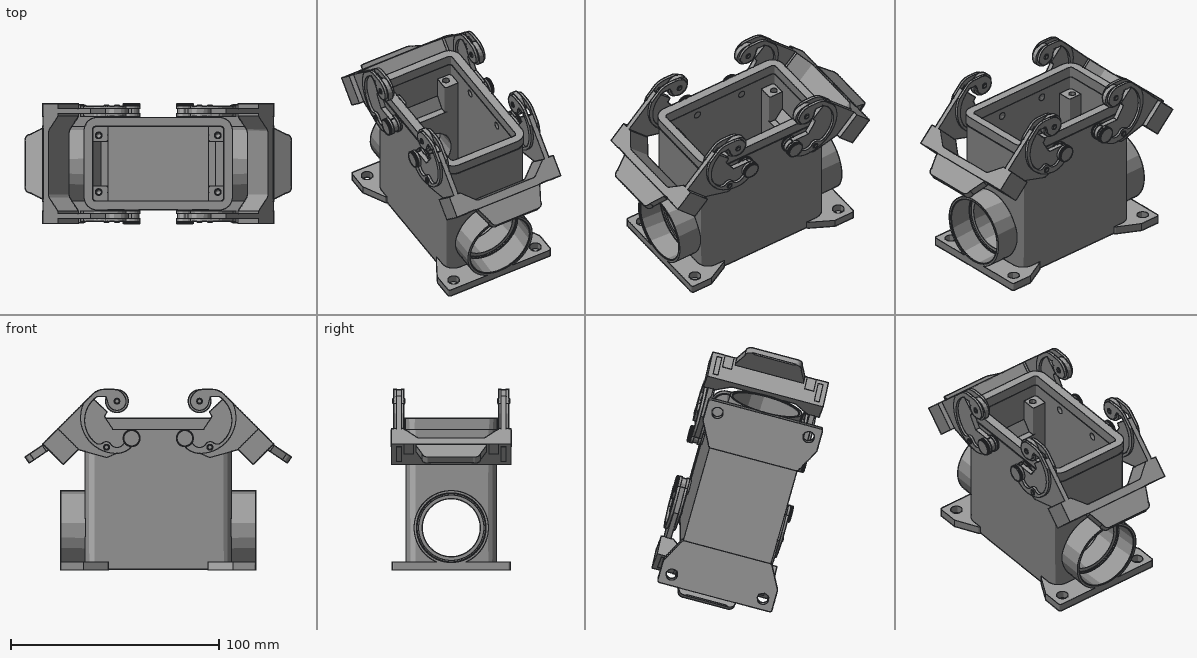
import cadquery as cq
import math

BODY_LENGTH = 70.6
BODY_WIDTH = 43.6
BODY_CORNER_R = 6.2
BODY_BOTTOM_Z = 0.35
SHOULDER_Z = 67.5
RIM_LENGTH = 71.2
RIM_WIDTH = 44.4
RIM_TOP_Z = 73.0

CAVITY_LENGTH = 63.2
CAVITY_WIDTH = 36.0
CAVITY_CORNER_R = 1.6
CAVITY_STEP = 0.15
FLOOR_Z = 4.0
LEDGE_INNER_X = 24.2
LEDGE_Z = 44.5
LEDGE_SLOPE_X = 27.4
LEDGE_SLOPE_TOP_Z = 49.8
POST_WIDTH = 7.4
POST_CORNER_R = 1.0
POST_TOP_Z = 60.9
SCREW_X = 28.6
SCREW_Y = 13.6
SCREW_R = 1.6
SCREW_TIP_R = 1.25
SCREW_DEPTH = 12.0

ENTRY_END_X = 46.9
ENTRY_Z = 20.4
ENTRY_R = 17.85
ENTRY_BORE_R = 16.4
ENTRY_BORE_DEPTH = 11.5
ENTRY_SEAT_R = 15.7
ENTRY_SEAT_DEPTH = 12.3
ENTRY_HOLE_R = 13.9
ENTRY_MOUTH_CHAMFER = 0.35

FOOT_THICKNESS = 4.0
FOOT_HALF_WIDTH = 28.4
FOOT_CORNER_R = 1.1
FOOT_SHOULDER_X = 35.8
FOOT_TOE_X = 24.4
FOOT_TOE_Y = 22.4
FOOT_INNER_X = 23.8
FOOT_HOLE_X = 41.5
FOOT_HOLE_Y = 22.7
FOOT_HOLE_R = 2.75

LEVER_CORNER_X = -55.5
LEVER_CORNER_Z = 60.6
LEVER_DIAGONAL = LEVER_CORNER_Z - LEVER_CORNER_X
ROOT_HALF = math.sqrt(0.5)

BAR_HALF_LENGTH = 28.8
BAR_HEIGHT = 10.4
BAR_DEPTH = 14.0
NOTCH_FLOOR = 4.0
NOTCH_HALF_BOTTOM = 15.9
NOTCH_HALF_TOP = 22.8
NOTCH_CORNER_R = 2.7

ARM_Y = 24.0
ARM_THICKNESS = 2.4
CHEEK_THICKNESS = 1.3
CHEEK_INSET = 0.1
ARM_OVERLAP = 2.0

PIVOT_X = -12.8
PIVOT_Z = 63.4
PIVOT_R = 4.07
PIVOT_NECK_R = 3.6
PIVOT_ROOT_DEPTH = 1.0
PIVOT_CAP_THICKNESS = 0.75
PIVOT_END_Y = 29.0
PIVOT_CAP_CHAMFER = 0.35
PIVOT_DIMPLE_R = 1.8
PIVOT_DIMPLE_DEPTH = 0.6

CRESCENT_X = -20.6
CRESCENT_Z = 72.8
CRESCENT_R = 16.7

ROLLER_X = -19.85
ROLLER_Z = 81.2
ROLLER_R = 5.5
HOOK_EYE_R = 4.43
HOOK_TOP_Z = 86.94
RIVET_X = -24.8
RIVET_Z = 59.05
RIVET_R = 1.4
RIVET_PROUD = 0.45
RIVET_CHAMFER = 0.4

TAB_TIP_X = -63.995
TAB_TIP_Z = 54.4
TAB_ANGLE = math.radians(34)
TAB_THICKNESS = 3.6
TAB_LENGTH = 12.5
TAB_VISIBLE_LENGTH = 10.0
TAB_HALF_ROOT = 17.0
TAB_WAIST = 5.5
TAB_HALF_WAIST = 15.1
TAB_SHOULDER = 2.8
TAB_HALF_SHOULDER = 14.0
TAB_CORNER_SAGITTA = 0.8
TAB_HALF_TIP = 10.8
TAB_EDGE_CHAMFER = 0.5

PANEL_DEPTH = 0.15
ARM_PANEL_START = 1.9
ARM_PANEL_END = 11.9
CORNER_PANEL_INNER_Y = 18.2
CORNER_PANEL_OUTER_Y = 22.7
CORNER_PANEL_END = 6.8


def rounded_block(length, width, radius, z_bottom, z_top):
    """Upright block centred on the Z axis with rounded vertical edges."""
    block = cq.Workplane("XY").workplane(offset=z_bottom).rect(length, width).extrude(z_top - z_bottom)
    return block.edges("|Z").fillet(radius)


def both_ends(half):
    """A feature of the -X end together with its mirror image at the +X end."""
    return half.union(half.mirror("YZ"))


def disc(x, z, radius, y_start, y_end):
    """Cylinder along Y."""
    return cq.Workplane("XZ", origin=(x, y_start, z)).circle(radius).extrude(y_start - y_end)


def entry_cylinder(radius, x_start, x_end):
    """Cylinder along the cable entry axis."""
    return cq.Workplane("YZ", origin=(x_start, 0, ENTRY_Z)).circle(radius).extrude(x_end - x_start)


def foot():
    """Mounting foot across the -X end of the housing."""
    half_outline = [
        (-ENTRY_END_X, FOOT_HALF_WIDTH),
        (-FOOT_SHOULDER_X, FOOT_HALF_WIDTH),
        (-FOOT_TOE_X, FOOT_TOE_Y),
        (-FOOT_INNER_X, BODY_WIDTH / 2),
    ]
    outline = half_outline + [(x, -y) for x, y in reversed(half_outline)]
    plate = cq.Workplane("XY").polyline(outline).close().extrude(FOOT_THICKNESS)
    plate = plate.edges("|Z and <X").fillet(FOOT_CORNER_R)
    holes = [(-FOOT_HOLE_X, FOOT_HOLE_Y), (-FOOT_HOLE_X, -FOOT_HOLE_Y)]
    return plate.cut(cq.Workplane("XY").pushPoints(holes).circle(FOOT_HOLE_R).extrude(FOOT_THICKNESS))


def screw_hole(y):
    """Blind screw hole in a post, narrowing to a pointed tip."""
    tip_z = POST_TOP_Z - SCREW_DEPTH
    shank = cq.Workplane("XY", origin=(-SCREW_X, y, tip_z)).circle(SCREW_R).extrude(SCREW_DEPTH)
    tip = cq.Solid.makeCone(SCREW_TIP_R, 0, SCREW_TIP_R, cq.Vector(-SCREW_X, y, tip_z), cq.Vector(0, 0, -1))
    return shank.union(cq.Workplane(tip))


def end_ledge():
    """Thickened lower end wall with a sloped top, and the two screw posts in its corners."""
    wall_x = -CAVITY_LENGTH / 2
    profile = [
        (wall_x, FLOOR_Z),
        (-LEDGE_INNER_X, FLOOR_Z),
        (-LEDGE_INNER_X, LEDGE_Z),
        (-LEDGE_SLOPE_X, LEDGE_Z),
        (wall_x, LEDGE_SLOPE_TOP_Z),
    ]
    ledge = cq.Workplane("XZ").polyline(profile).close().extrude(CAVITY_WIDTH / 2, both=True)
    for side in (-1, 1):
        centre_y = side * (CAVITY_WIDTH - POST_WIDTH) / 2
        post = (
            cq.Workplane("XY", origin=(wall_x + POST_WIDTH / 2, centre_y, FLOOR_Z))
            .rect(POST_WIDTH, POST_WIDTH)
            .extrude(POST_TOP_Z - FLOOR_Z)
        )
        inner_edge = ">X and <Y" if side > 0 else ">X and >Y"
        post = post.edges("|Z and " + inner_edge).fillet(POST_CORNER_R)
        ledge = ledge.union(post).cut(screw_hole(side * SCREW_Y))
    return ledge


def housing():
    """Box-shaped housing with feet, cable entries, cavity and screw posts."""
    shell = rounded_block(BODY_LENGTH, BODY_WIDTH, BODY_CORNER_R, BODY_BOTTOM_Z, SHOULDER_Z)
    shell = shell.union(rounded_block(RIM_LENGTH, RIM_WIDTH, BODY_CORNER_R, SHOULDER_Z, RIM_TOP_Z))
    shell = shell.union(both_ends(foot()))
    shell = shell.union(entry_cylinder(ENTRY_R, -ENTRY_END_X, ENTRY_END_X))
    shell = shell.cut(rounded_block(CAVITY_LENGTH, CAVITY_WIDTH, CAVITY_CORNER_R, SHOULDER_Z, RIM_TOP_Z))
    lower_length = CAVITY_LENGTH - 2 * CAVITY_STEP
    lower_width = CAVITY_WIDTH - 2 * CAVITY_STEP
    shell = shell.cut(rounded_block(lower_length, lower_width, CAVITY_CORNER_R, FLOOR_Z, SHOULDER_Z))
    shell = shell.union(both_ends(end_ledge()))

    bore = entry_cylinder(ENTRY_BORE_R, -ENTRY_END_X, ENTRY_BORE_DEPTH - ENTRY_END_X)
    mouth = cq.Workplane(cq.Solid.makeCone(
        ENTRY_BORE_R + ENTRY_MOUTH_CHAMFER, ENTRY_BORE_R, ENTRY_MOUTH_CHAMFER,
        cq.Vector(-ENTRY_END_X, 0, ENTRY_Z), cq.Vector(1, 0, 0),
    ))
    seat = entry_cylinder(ENTRY_SEAT_R, -ENTRY_END_X, ENTRY_SEAT_DEPTH - ENTRY_END_X)
    shell = shell.cut(both_ends(bore.union(mouth).union(seat)))
    return shell.cut(entry_cylinder(ENTRY_HOLE_R, -ENTRY_END_X, ENTRY_END_X))


def bar_recesses():
    """Shallow recesses in the outer face of the cross bar, at the arm ends and beside the tab."""
    face_plane = cq.Plane(
        origin=(LEVER_CORNER_X, 0, LEVER_CORNER_Z),
        xDir=(0, -1, 0),
        normal=(ROOT_HALF, 0, ROOT_HALF),
    )
    recesses = cq.Workplane("XY")
    for side in (-1, 1):
        arm_panel = (
            cq.Workplane(face_plane)
            .center(side * (ARM_Y + ARM_THICKNESS / 2), (ARM_PANEL_START + ARM_PANEL_END) / 2)
            .rect(ARM_THICKNESS, ARM_PANEL_END - ARM_PANEL_START)
            .extrude(PANEL_DEPTH)
        )
        corner_panel = (
            cq.Workplane(face_plane)
            .center(side * (CORNER_PANEL_INNER_Y + CORNER_PANEL_OUTER_Y) / 2, CORNER_PANEL_END / 2)
            .rect(CORNER_PANEL_OUTER_Y - CORNER_PANEL_INNER_Y, CORNER_PANEL_END)
            .extrude(PANEL_DEPTH)
        )
        recesses = recesses.union(arm_panel).union(corner_panel)
    return recesses


def cross_bar():
    """Bar tying the two lever arms, leaning at 45 degrees and notched on its upper side."""
    bar_plane = cq.Plane(
        origin=(LEVER_CORNER_X, 0, LEVER_CORNER_Z),
        xDir=(0, 1, 0),
        normal=(ROOT_HALF, 0, -ROOT_HALF),
    )
    half_outline = [
        (BAR_HALF_LENGTH, 0),
        (BAR_HALF_LENGTH, BAR_HEIGHT),
        (NOTCH_HALF_TOP, BAR_HEIGHT),
        (NOTCH_HALF_BOTTOM, NOTCH_FLOOR),
    ]
    outline = half_outline + [(-y, climb) for y, climb in reversed(half_outline)]
    bar = cq.Workplane(bar_plane).polyline(outline).close().extrude(BAR_DEPTH)
    notch_edges = cq.selectors.BoxSelector(
        bar_plane.toWorldCoords((-NOTCH_HALF_BOTTOM - 1, NOTCH_FLOOR - 1, 0)),
        bar_plane.toWorldCoords((NOTCH_HALF_BOTTOM + 1, NOTCH_FLOOR + 1, BAR_DEPTH)),
    )
    bar = bar.edges("#Y").edges(notch_edges).fillet(NOTCH_CORNER_R)
    return bar.cut(bar_recesses())


def finger_tab():
    """Grip tab sloping outward and down from the cross bar."""
    outward = (-math.cos(TAB_ANGLE), 0, -math.sin(TAB_ANGLE))
    tab_plane = cq.Plane(
        origin=(TAB_TIP_X, 0, TAB_TIP_Z),
        xDir=outward,
        normal=(math.sin(TAB_ANGLE), 0, -math.cos(TAB_ANGLE)),
    )
    tab = (
        cq.Workplane(tab_plane)
        .moveTo(-TAB_LENGTH, -TAB_HALF_ROOT)
        .lineTo(-TAB_VISIBLE_LENGTH, -TAB_HALF_ROOT)
        .spline([(-TAB_WAIST, -TAB_HALF_WAIST), (-TAB_SHOULDER, -TAB_HALF_SHOULDER)], includeCurrent=True)
        .threePointArc((-TAB_CORNER_SAGITTA, TAB_CORNER_SAGITTA - TAB_HALF_SHOULDER), (0, -TAB_HALF_TIP))
        .lineTo(0, TAB_HALF_TIP)
        .threePointArc((-TAB_CORNER_SAGITTA, TAB_HALF_SHOULDER - TAB_CORNER_SAGITTA),
                       (-TAB_SHOULDER, TAB_HALF_SHOULDER))
        .spline([(-TAB_WAIST, TAB_HALF_WAIST), (-TAB_VISIBLE_LENGTH, TAB_HALF_ROOT)], includeCurrent=True)
        .lineTo(-TAB_LENGTH, TAB_HALF_ROOT)
        .close()
        .extrude(TAB_THICKNESS)
    )
    lower_tip_edge = cq.selectors.NearestToPointSelector(tab_plane.toWorldCoords((0, 0, TAB_THICKNESS)))
    return tab.edges(lower_tip_edge).chamfer(TAB_EDGE_CHAMFER)


def arm_plate():
    """Middle plate of a lever arm."""
    outline = [
        (LEVER_CORNER_X + ARM_OVERLAP, LEVER_CORNER_Z + ARM_OVERLAP),
        (-32.5, LEVER_DIAGONAL - 32.5),
        (-24.5, 76.0),
        (-25.7, 74.0),
        (-25.05, 72.6),
        (-21.65, SHOULDER_Z),
        (PIVOT_X, SHOULDER_Z),
        (PIVOT_X, PIVOT_Z - PIVOT_R),
        (-20.2, CRESCENT_Z - CRESCENT_R),
        (-24.7, 54.1),
        (-38.5, 57.9),
        (-41.5, 57.9),
    ]
    return (
        cq.Workplane("XZ", origin=(0, ARM_Y, 0)).polyline(outline).close().extrude(-ARM_THICKNESS)
    )


def hook_cheek(y_start):
    """Side plate running from the pivot round the crescent to the hooked roller eye."""
    diagonal = LEVER_DIAGONAL - CHEEK_INSET
    crescent_low = CRESCENT_Z - CRESCENT_R
    return (
        cq.Workplane("XZ", origin=(0, y_start, 0))
        .moveTo(PIVOT_X, PIVOT_Z - PIVOT_R)
        .threePointArc((-16.3, crescent_low + 0.75), (CRESCENT_X, crescent_low))
        .threePointArc((CRESCENT_X - CRESCENT_R, CRESCENT_Z), (-35.9, diagonal - 35.9))
        .lineTo(-30.7, diagonal - 30.7)
        .threePointArc((-28.7, 86.4), (-26.0, HOOK_TOP_Z))
        .lineTo(-21.6, HOOK_TOP_Z)
        .threePointArc((-17.3, 85.1), (ROLLER_X + HOOK_EYE_R, ROLLER_Z))
        .threePointArc((ROLLER_X, ROLLER_Z - HOOK_EYE_R), (ROLLER_X - HOOK_EYE_R, ROLLER_Z))
        .lineTo(-25.3, 83.4)
        .lineTo(-29.3, 83.4)
        .threePointArc((-35.35, 71.7), (-30.0, 61.1))
        .threePointArc((-28.4, 60.5), (-26.6, 61.15))
        .threePointArc((RIVET_X, 61.75), (-23.0, 60.85))
        .threePointArc((-19.6, 58.95), (-16.9, 60.4))
        .lineTo(PIVOT_X, PIVOT_Z)
        .close()
        .extrude(-CHEEK_THICKNESS)
    )


def rivet(x, z):
    """Rivet through both cheeks with chamfered ends standing slightly proud."""
    y_start = ARM_Y - CHEEK_THICKNESS - RIVET_PROUD
    y_end = ARM_Y + ARM_THICKNESS + CHEEK_THICKNESS + RIVET_PROUD
    return disc(x, z, RIVET_R, y_start, y_end).faces("<Y or >Y").chamfer(RIVET_CHAMFER)


def pivot_pin():
    """Pivot pin rooted in the housing wall, with a collar at each cheek and a chamfered head."""
    pin = disc(PIVOT_X, PIVOT_Z, PIVOT_NECK_R, BODY_WIDTH / 2 - PIVOT_ROOT_DEPTH, PIVOT_END_Y)
    for collar_y in (ARM_Y - CHEEK_THICKNESS, ARM_Y + ARM_THICKNESS):
        pin = pin.union(disc(PIVOT_X, PIVOT_Z, PIVOT_R, collar_y, collar_y + CHEEK_THICKNESS))
    cap_start = PIVOT_END_Y - PIVOT_CAP_THICKNESS
    cap = disc(PIVOT_X, PIVOT_Z, PIVOT_R, cap_start, PIVOT_END_Y)
    return pin.union(cap).faces(">Y").chamfer(PIVOT_CAP_CHAMFER)


def lever_arm():
    """Complete lever arm on the +Y side."""
    arm = arm_plate()
    arm = arm.union(hook_cheek(ARM_Y - CHEEK_THICKNESS)).union(hook_cheek(ARM_Y + ARM_THICKNESS))
    arm = arm.union(disc(ROLLER_X, ROLLER_Z, ROLLER_R, ARM_Y, ARM_Y + ARM_THICKNESS))
    arm = arm.union(rivet(ROLLER_X, ROLLER_Z)).union(rivet(RIVET_X, RIVET_Z))
    return arm.union(pivot_pin())


def lever():
    """Locking lever of the -X end: two arms, cross bar and finger tab."""
    arm = lever_arm()
    return cross_bar().union(finger_tab()).union(arm).union(arm.mirror("XZ"))


def pin_dimples():
    """Conical dimples marking the pivot pins on the inside of the long walls."""
    wall_y = CAVITY_WIDTH / 2 - CAVITY_STEP
    dimples = cq.Workplane("XY")
    for side in (-1, 1):
        for x in (PIVOT_X, -PIVOT_X):
            cone = cq.Solid.makeCone(
                PIVOT_DIMPLE_R, 0, PIVOT_DIMPLE_DEPTH,
                cq.Vector(x, side * wall_y, PIVOT_Z), cq.Vector(0, side, 0),
            )
            dimples = dimples.union(cq.Workplane(cone))
    return dimples


result = housing().union(both_ends(lever())).cut(pin_dimples())